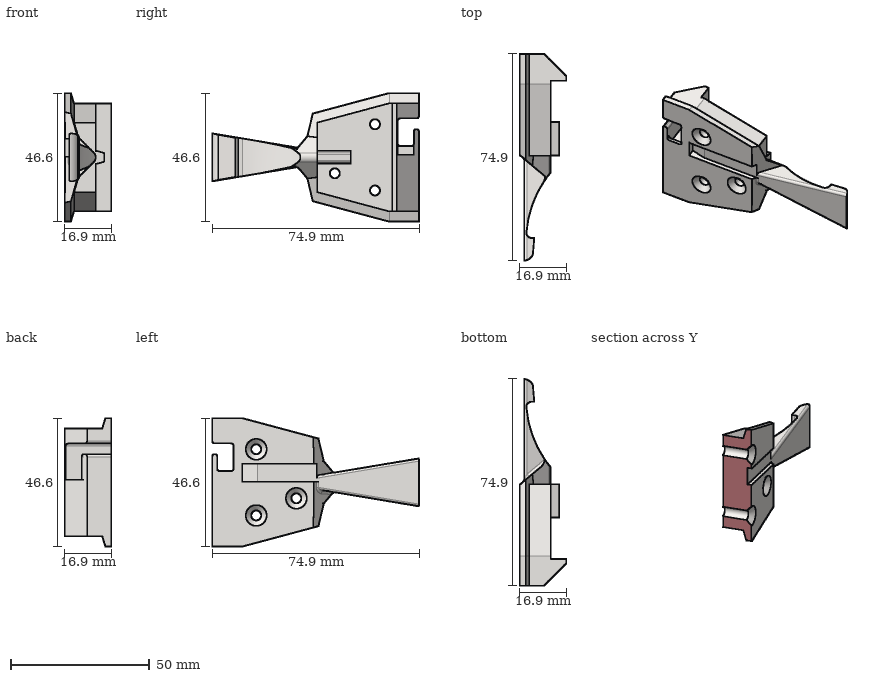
import cadquery as cq
import math


plate_half_height = 23.3
plate_edge = 2.25
straight_length = 10.85
taper_slope = math.tan(math.radians(15))
bevel_slope = 3.33
bevel_top = 5.25
slant_start = 36.6
slant_slope = math.tan(math.radians(40))

body_top = 11.3
body_length = 36.75
body_inset = 3.75
hook_top = 16.9
hook_length = 9.7
hook_lip = 1.65
bump_top = 14.4
bump_length = 12.1
bump_half_base = 2.4
bump_half_top = 1.6
bump_round = 0.7

ridge_foot = 5.25
ridge_half_foot = 6.95
ridge_top = 11.2
ridge_flat_end = 42.9
ridge_start = 29.95

lever_back = 1.6
lever_root = 37.05
lever_length = 74.85
lever_tip_half = 8.795
lever_flare = 0.167
lever_thin = 2.55
lever_edge_round = 0.9
root_fillet = 1.1
lever_draft = 5
lever_overrun = 1.5
arc_middle = (4.8, 54.05)
arc_end = (lever_thin, 64.0)
tip_start = 65.35
tip_back = 66.55
tip_height = 5.3
tip_rear_middle = (3.3, 66.25)
tip_rear_top = 4.3
tip_nose_start = (4.8, 72.6)
tip_nose_middle = (3.7, 74.0)
lever_clip = 59.9

channel_bottom = 0.3
channel_top = 6.65
channel_end_depth = 2.85
channel_ramp_end = 16.3
notch_top = 14.1
notch_mouth_bottom = 10.25
notch_bottom = 4.1
notch_inner = 1.9
notch_length = 7.7
notch_round = 0.9
notch_skin = 1.2
hole_diameter = 3.5
sink_diameter = 7.55
sink_angle = 90
hole_places = [(15.95, 12.0), (15.95, -12.0), (30.5, -5.8)]

margin = 7.5
full_height = 2 * plate_half_height


def side_plane(x):
    """Plane facing +X at the given X, with local axes along Y and Z."""
    return cq.Workplane("YZ", origin=(x, 0, 0))


def prism_z(points, height=full_height):
    """Prism along Z, centred on Z = 0, from (X, distance from rear) points."""
    outline = [(x, -d) for x, d in points]
    return cq.Workplane("XY").polyline(outline).close().extrude(height / 2, both=True)


def tapered_outline(x, inset, length):
    """Symmetric outline that is straight at the rear and narrows towards the front."""
    rear = plate_half_height - inset
    front = rear - taper_slope * (length - straight_length)
    upper = [(0, rear), (-straight_length, rear), (-length, front)]
    lower = [(y, -z) for y, z in reversed(upper)]
    return side_plane(x).polyline(upper + lower).close()


def slant_at(x):
    """Distance from the rear of the slanted front plane at the given X."""
    return slant_start + slant_slope * x


def make_plate():
    length = slant_at(bevel_top) + 0.75
    flat = tapered_outline(0, 0, length).extrude(plate_edge)
    inset = bevel_slope * (bevel_top - plate_edge)
    lower_wire = tapered_outline(plate_edge, 0, length).val()
    upper_wire = tapered_outline(bevel_top, inset, length).val()
    bevel = cq.Workplane(cq.Solid.makeLoft([lower_wire, upper_wire], True))
    return flat.union(bevel)


def make_body():
    body = tapered_outline(0, body_inset, body_length).extrude(body_top)
    lip_start = hook_length - hook_lip
    hook_points = [
        (0, 0),
        (hook_top - lip_start, 0),
        (hook_top, lip_start),
        (hook_top, hook_length),
        (0, hook_length),
    ]
    body = body.union(prism_z(hook_points, 2 * (plate_half_height - body_inset)))
    rear_chamfer = [
        (hook_top - lip_start, 0),
        (hook_top, lip_start),
        (hook_top, 0),
    ]
    return body.cut(prism_z(rear_chamfer))


def make_bump():
    profile = [
        (body_top - 0.75, -bump_half_base),
        (body_top, -bump_half_base),
        (bump_top, -bump_half_top),
        (bump_top, bump_half_top),
        (body_top, bump_half_base),
        (body_top - 0.75, bump_half_base),
    ]
    bump = cq.Workplane("XZ", origin=(0, bump_length - body_length, 0)).polyline(profile).close()
    return bump.extrude(bump_length).edges("|Y and >X").fillet(bump_round)


def make_ridge(length):
    """Rounded 45 degree ridge along Y, from inside the body to the given distance."""
    apex = ridge_foot + ridge_half_foot
    radius = (apex - ridge_top) / (math.sqrt(2) - 1)
    tangent_z = radius / math.sqrt(2)
    tangent_x = apex - tangent_z
    base_half = apex - lever_back
    ridge = (
        cq.Workplane("XZ", origin=(0, -ridge_start, 0))
        .moveTo(lever_back, -base_half)
        .lineTo(tangent_x, -tangent_z)
        .threePointArc((ridge_top, 0), (tangent_x, tangent_z))
        .lineTo(lever_back, base_half)
        .close()
        .extrude(length - ridge_start)
    )
    foot = prism_z([
        (ridge_foot - 0.75, ridge_start),
        (ridge_top, ridge_start),
        (ridge_top, length),
        (ridge_foot - 0.75, length),
    ])
    return ridge, ridge.intersect(foot)


def make_lever_profile():
    """Side profile of ridge end and lever, as a prism along Z."""
    def at(x, d):
        return (x, -d)

    return (
        cq.Workplane("XY")
        .moveTo(*at(lever_back, ridge_start))
        .lineTo(*at(ridge_top, ridge_start))
        .lineTo(*at(ridge_top, ridge_flat_end))
        .threePointArc(at(*arc_middle), at(*arc_end))
        .lineTo(*at(lever_thin, tip_start))
        .threePointArc(at(*tip_rear_middle), at(tip_rear_top, tip_back))
        .lineTo(*at(tip_height, tip_back))
        .lineTo(*at(*tip_nose_start))
        .threePointArc(at(*tip_nose_middle), at(lever_back, lever_length))
        .close()
        .extrude(full_height / 2, both=True)
    )


def make_lever(profile, ridge):
    outline_end = lever_length + lever_overrun
    end_half = lever_tip_half + lever_flare * lever_overrun
    root_half = end_half - lever_flare * (outline_end - lever_root)
    flare = (
        side_plane(lever_back)
        .polyline([
            (-lever_root, -root_half),
            (-lever_root, root_half),
            (-outline_end, end_half),
            (-outline_end, -end_half),
        ])
        .close()
        .extrude(ridge_top - lever_back, taper=lever_draft)
        .edges("<X and (not |Z)")
        .fillet(lever_edge_round)
    )
    lever = flare.intersect(profile)
    tip = prism_z([(0, lever_clip), (ridge_top, lever_clip), (ridge_top, lever_length), (0, lever_length)])
    return lever.intersect(ridge.union(tip))


def make_channel():
    """Channel in the mounting face, deepest at its rear end and open at the front."""
    front = slant_at(lever_back)
    points = [
        (-margin, straight_length),
        (channel_end_depth, straight_length),
        (lever_back, channel_ramp_end),
        (lever_back, front),
        (-margin, front),
    ]
    height = channel_top - channel_bottom
    middle = (channel_top + channel_bottom) / 2
    return prism_z(points, height).translate((0, 0, middle))


def make_notch():
    """L-shaped notch through the full depth, with a recess reaching lower behind the mounting face."""
    height = notch_top - notch_bottom
    pocket = (
        side_plane(0)
        .center(-(notch_inner + notch_length) / 2, notch_bottom + height / 2)
        .rect(notch_length - notch_inner, height)
        .extrude(hook_top)
        .edges("|X")
        .fillet(notch_round)
    )
    mouth_height = notch_top - notch_mouth_bottom
    mouth_length = (notch_inner + notch_length) / 2
    mouth = (
        side_plane(0)
        .center(-mouth_length / 2, notch_top - mouth_height / 2)
        .rect(mouth_length, mouth_height)
        .extrude(hook_top)
    )
    recess = (
        side_plane(notch_skin)
        .center(-(notch_inner + notch_length) / 2, notch_top / 2)
        .rect(notch_length - notch_inner, notch_top - 2 * notch_round)
        .extrude(hook_top)
    )
    return pocket.union(mouth).union(recess)


def round_notch_mouth(part):
    """Round the three outer corners at the mouth of the notch."""
    for y, z in [(0, notch_top), (0, notch_mouth_bottom), (-notch_inner, notch_mouth_bottom)]:
        near = 0.1
        corner = cq.selectors.BoxSelector((-0.75, y - near, z - near), (hook_top, y + near, z + near))
        part = part.edges(corner).edges("|X").fillet(notch_round)
    return part


def cut_screw_holes(part):
    sink_depth = (sink_diameter - hole_diameter) / 2 / math.tan(math.radians(sink_angle / 2))
    for distance, z in hole_places:
        place = cq.Vector(0, -distance, z)
        inward = cq.Vector(1, 0, 0)
        hole = cq.Solid.makeCylinder(hole_diameter / 2, hook_top, place, inward)
        sink = cq.Solid.makeCone(sink_diameter / 2, hole_diameter / 2, sink_depth, place, inward)
        part = part.cut(cq.Workplane(hole)).cut(cq.Workplane(sink))
    return part


def blend_lever_root(part):
    """Fillet the tangent chain where the back and lower side of the lever meet the slanted front."""
    near = 0.1
    distance = slant_at(lever_back)
    root_half = lever_tip_half - lever_flare * (lever_length - distance)
    root_box = cq.selectors.BoxSelector(
        (lever_back - near, -distance - near, -root_half),
        (lever_back + near, -distance + near, channel_bottom),
    )
    return part.edges(root_box).fillet(root_fillet)


ridge_stock, ridge = make_ridge(lever_clip)
lever_profile = make_lever_profile()

beyond = slant_at(hook_top)
slant_cutter = prism_z([
    (-margin, slant_at(-margin)),
    (hook_top, beyond),
    (hook_top, beyond + lever_length),
    (-margin, beyond + lever_length),
])
plate = make_plate().union(ridge.intersect(lever_profile)).cut(slant_cutter)

result = plate.union(make_body()).union(make_bump())
result = round_notch_mouth(result.cut(make_notch()))
result = cut_screw_holes(result)
result = result.cut(make_channel())
result = result.union(make_lever(lever_profile, ridge_stock))
result = blend_lever_root(result)